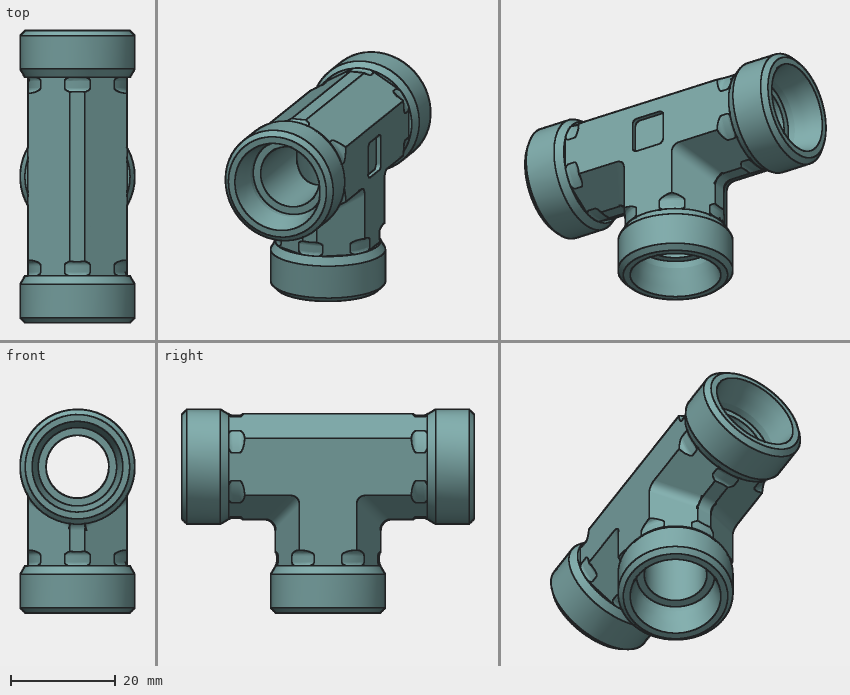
import cadquery as cq
import math


ARM_LENGTH = 28.0
COLLAR_DIAMETER = 22.0
COLLAR_LENGTH = 7.4
NECK_DISTANCE = 9.0
BACK_TAPER_ANGLE = 30.0
END_CHAMFER = 1.0

HEX_ACROSS_FLATS = 19.0
RIDGE_HALF_HEIGHT = 10.15
JUNCTION_FILLET = 2.0

GROOVE_DIAMETER = 19.7
GROOVE_FILLET = 1.0
GROOVE_FLOOR_START = 9.7
GROOVE_FLOOR_END = 11.05

BORE_DIAMETER = 12.0
SOCKET_DIAMETER = 15.0
MOUTH_DIAMETER = 17.35
MOUTH_HALF_ANGLE = 12.0
SOCKET_DEPTH = 7.0

RECESS_SIZE = 7.05
RECESS_CORNER_RADIUS = 1.0
RECESS_DEPTH = 1.0
RECESS_CENTER_Z = -1.0

MATCH_TOLERANCE = 5.6e-05

HALF_FLATS = HEX_ACROSS_FLATS / 2
COLLAR_RADIUS = COLLAR_DIAMETER / 2
GROOVE_RADIUS = GROOVE_DIAMETER / 2
NECK_Z = NECK_DISTANCE - ARM_LENGTH
SOCKET_FLOOR_Z = SOCKET_DEPTH - ARM_LENGTH


def turn_to_run(piece, side):
    """Turn a -Z piece so that it points along +Y (side 1) or -Y (side -1)."""
    return piece.rotate((0, 0, 0), (1, 0, 0), 90 * side)


def all_arms(piece):
    return [piece, turn_to_run(piece, 1), turn_to_run(piece, -1)]


def revolve_about_z(profile):
    """Revolve an XZ profile, drawn as (radius, z), about the Z axis."""
    return profile.close().revolve(360, (0, 0, 0), (0, 1, 0))


def hex_bar(bottom_z, top_z):
    """Hexagonal bar along Z with flats on +-X and its +-Y corners cut off flat."""
    corner_diameter = HEX_ACROSS_FLATS / math.cos(math.radians(30))
    bar = (
        cq.Workplane("XY", origin=(0, 0, bottom_z))
        .polygon(6, corner_diameter)
        .extrude(top_z - bottom_z)
        .rotate((0, 0, 0), (0, 0, 1), 30)
    )
    trim = (
        cq.Workplane("XY", origin=(0, 0, bottom_z))
        .rect(2 * HEX_ACROSS_FLATS, 2 * RIDGE_HALF_HEIGHT)
        .extrude(top_z - bottom_z)
    )
    return bar.intersect(trim)


def body():
    """Run and branch bars joined, with the inside corners between them rounded."""
    run = turn_to_run(hex_bar(NECK_Z, -NECK_Z), 1)
    branch = hex_bar(NECK_Z, 0)
    tee = run.union(branch)

    corners = [
        edge for edge in tee.edges().vals()
        if all(
            end.Z < 0 and math.isclose(abs(end.Y), -end.Z, abs_tol=MATCH_TOLERANCE)
            for end in edge.Vertices()
        )
    ]
    return tee.newObject(corners).fillet(JUNCTION_FILLET)


def corner_groove():
    """Ring that leaves a round neck with a filleted shoulder on each side."""
    outer_radius = COLLAR_RADIUS + GROOVE_FILLET
    shoulder_radius = GROOVE_RADIUS + GROOVE_FILLET
    floor_start_z = GROOVE_FLOOR_START - ARM_LENGTH
    floor_end_z = GROOVE_FLOOR_END - ARM_LENGTH
    diagonal = GROOVE_FILLET * math.sqrt(0.5)
    profile = (
        cq.Workplane("XZ")
        .moveTo(outer_radius, floor_start_z - GROOVE_FILLET)
        .lineTo(shoulder_radius, floor_start_z - GROOVE_FILLET)
        .threePointArc(
            (shoulder_radius - diagonal, floor_start_z - diagonal),
            (GROOVE_RADIUS, floor_start_z),
        )
        .lineTo(GROOVE_RADIUS, floor_end_z)
        .threePointArc(
            (shoulder_radius - diagonal, floor_end_z + diagonal),
            (shoulder_radius, floor_end_z + GROOVE_FILLET),
        )
        .lineTo(outer_radius, floor_end_z + GROOVE_FILLET)
    )
    return revolve_about_z(profile)


def collar():
    """Round end with a chamfered face and a tapered back."""
    taper_drop = (NECK_DISTANCE - COLLAR_LENGTH) * math.tan(math.radians(BACK_TAPER_ANGLE))
    profile = cq.Workplane("XZ").polyline([
        (0, -ARM_LENGTH),
        (COLLAR_RADIUS - END_CHAMFER, -ARM_LENGTH),
        (COLLAR_RADIUS, END_CHAMFER - ARM_LENGTH),
        (COLLAR_RADIUS, COLLAR_LENGTH - ARM_LENGTH),
        (COLLAR_RADIUS - taper_drop, NECK_Z),
        (0, NECK_Z),
    ])
    return revolve_about_z(profile)


def socket():
    """Tapered mouth and straight tube socket in one arm end."""
    mouth_radius = MOUTH_DIAMETER / 2
    socket_radius = SOCKET_DIAMETER / 2
    mouth_depth = (mouth_radius - socket_radius) / math.tan(math.radians(MOUTH_HALF_ANGLE))
    profile = cq.Workplane("XZ").polyline([
        (0, -ARM_LENGTH),
        (mouth_radius, -ARM_LENGTH),
        (socket_radius, mouth_depth - ARM_LENGTH),
        (socket_radius, SOCKET_FLOOR_Z),
        (0, SOCKET_FLOOR_Z),
    ])
    return revolve_about_z(profile)


def crossing_bores():
    """Bore through the whole run, joined by the branch bore."""
    bore_radius = BORE_DIAMETER / 2
    run_bore = cq.Workplane("XZ").circle(bore_radius).extrude(ARM_LENGTH, both=True)
    branch_bore = cq.Workplane("XY").circle(bore_radius).extrude(-ARM_LENGTH)
    return run_bore.union(branch_bore)


def side_recess():
    """Rounded square pocket in the -X flat."""
    return (
        cq.Workplane("YZ", origin=(-HALF_FLATS, 0, RECESS_CENTER_Z))
        .rect(RECESS_SIZE, RECESS_SIZE)
        .extrude(RECESS_DEPTH)
        .edges("|X")
        .fillet(RECESS_CORNER_RADIUS)
    )


result = body()
for groove in all_arms(corner_groove()):
    result = result.cut(groove)
for arm_collar in all_arms(collar()):
    result = result.union(arm_collar)
for arm_socket in all_arms(socket()):
    result = result.cut(arm_socket)
result = result.cut(crossing_bores())
result = result.cut(side_recess())